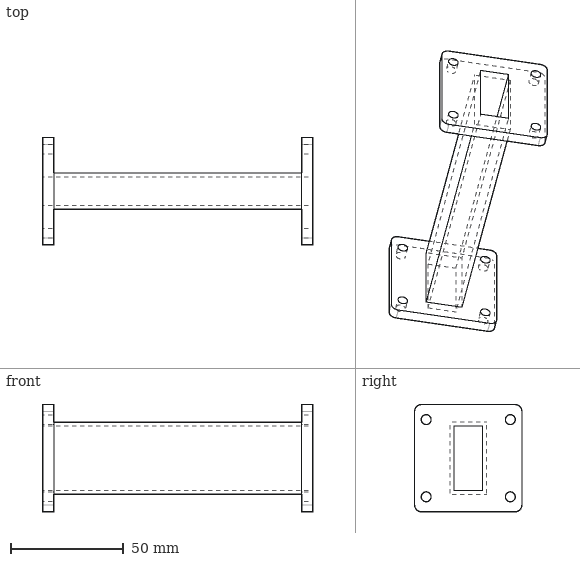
import cadquery as cq

length = 120.0
flange_side = 47.8
flange_thickness = 5.0
flange_corner_radius = 3.2

bore_width = 12.6
bore_height = 28.5
wall = 1.8
tube_width = bore_width + 2 * wall
tube_height = bore_height + 2 * wall

bolt_spacing_y = 37.4
bolt_spacing_z = 34.3
bolt_hole_diameter = 4.3


def centred_bar(bar_length, width, height):
    """Rectangular bar along X, centred on the origin."""
    return cq.Workplane("XY").box(bar_length, width, height)


def flange(centre_x):
    """Square plate with rounded corners and four bolt holes."""
    plate = centred_bar(flange_thickness, flange_side, flange_side)
    plate = plate.edges("|X").fillet(flange_corner_radius)
    plate = (
        plate.faces(">X")
        .workplane(centerOption="CenterOfBoundBox")
        .rect(bolt_spacing_y, bolt_spacing_z, forConstruction=True)
        .vertices()
        .hole(bolt_hole_diameter)
    )
    return plate.translate((centre_x, 0, 0))


result = centred_bar(length, tube_width, tube_height)
flange_offset = (length - flange_thickness) / 2
for side in (-1, 1):
    result = result.union(flange(side * flange_offset))

result = result.cut(centred_bar(length, bore_width, bore_height))